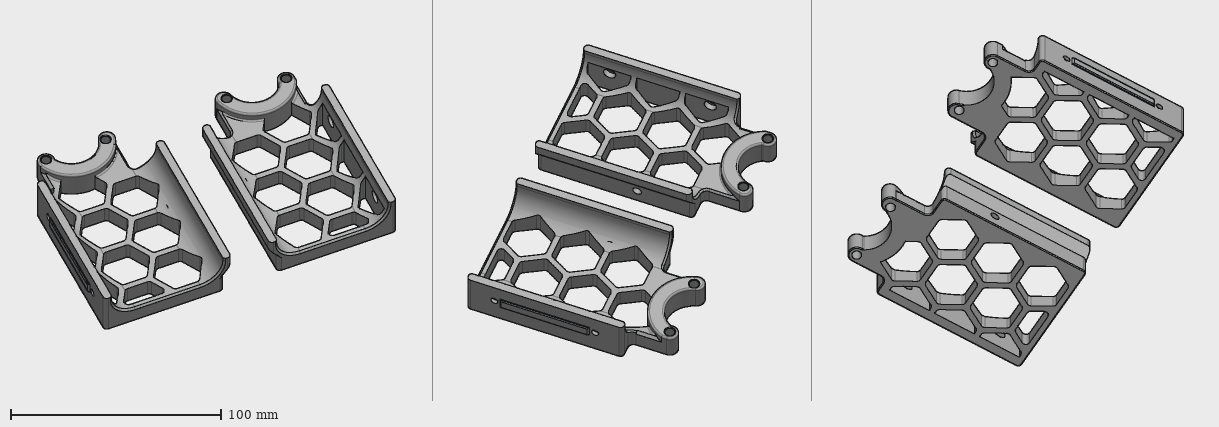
import cadquery as cq
import math


tolerance = 0.001

tray_length = 80.0
tray_height = 23.0
inner_wall_y = 10.0
outer_wall_y = 76.0
inner_step_y = 14.0
lip_bottom_z = 17.5
step_top_z = 12.2
corner_radius = 2.0
base_chamfer = 0.5

lip_width = 4.0
channel_radius = 12.0
floor_z = 9.0
channel_start_y = inner_wall_y + lip_width
channel_end_y = outer_wall_y - lip_width
rim_chamfer = 1.0

hole_x = -18.66
hole_spacing = 31.0
hole_diameter = 4.6
hole_chamfer = 0.4
ring_left_x = -23.66
ring_center_x = -23.8
ring_center_y = 47.0
ring_inner_radius = 13.0
ring_width = 8.2
ring_top_z = 13.4
ring_top_fillet = 1.0
ring_foot_fillet = 0.8
outer_boss_radius = 4.2
boss_blend_radius = 1.0
arm_root_radius = 3.0
arm_bevel_width = 1.5

ring_outer_radius = ring_inner_radius + ring_width
inner_hole_y = ring_center_y - hole_spacing / 2
outer_hole_y = ring_center_y + hole_spacing / 2

tip_radius = ring_width / 2
tip_x = ring_left_x + tip_radius
tip_offset_x = tip_x - ring_center_x
tip_offset_y = math.sqrt((ring_inner_radius + tip_radius) ** 2 - tip_offset_x ** 2)
tip_y = ring_center_y - tip_offset_y

arm_start_y = tip_y - tip_radius
arm_end_y = outer_hole_y + outer_boss_radius

cell_width = 22.0
cell_pitch = 25.0
cell_rounding = 2.0
row_pitch = cell_pitch * math.sqrt(3) / 2
first_cell_x = 15.8
first_row_y = 31.6
cells_per_row = 3
row_count = 3
honeycomb_end_x = first_cell_x + (cells_per_row - 1) * cell_pitch + cell_width / 2
honeycomb_end_y = 71.0

strip_start_x = 17.0
strip_end_x = 63.0
strip_bottom_z = 10.1
strip_top_z = 15.6
strip_thickness = 1.0
strip_edge_chamfer = 0.5
strip_end_chamfer = 0.95
screw_z = 12.8
screw_offset = 25.8
screw_diameter = 3.5
counterbore_diameter = 6.2
counterbore_depth = 3.0

blind_hole_x = 28.8
blind_hole_z = 7.8
blind_hole_diameter = 4.4
blind_hole_depth = 6.5


def vertical_cylinder(x, y, radius, height):
    return cq.Workplane("XY").center(x, y).circle(radius).extrude(height)


def wall_cylinder(x, z, diameter, start_y, length):
    """Cylinder along +Y, starting at start_y."""
    plane = cq.Plane(origin=(x, start_y, z), xDir=(1, 0, 0), normal=(0, 1, 0))
    return cq.Workplane(plane).circle(diameter / 2).extrude(length)


def block(x0, x1, y0, y1, z0, z1):
    return cq.Workplane("XY").box(x1 - x0, y1 - y0, z1 - z0, centered=False).translate((x0, y0, z0))


def rounded_block(start_y):
    """Full-height block from start_y to the outer wall, with rounded upright corners."""
    solid = block(0, tray_length, start_y, outer_wall_y, 0, tray_height)
    return solid.edges("|Z").fillet(corner_radius)


def tray_block():
    """Solid tray whose lip overhangs the inner side on a sloping underside."""
    slope = (lip_bottom_z - step_top_z) / (inner_step_y - inner_wall_y)
    slope_end_y = inner_wall_y + lip_bottom_z / slope
    below_lip = (
        cq.Workplane("YZ")
        .moveTo(inner_wall_y, 0)
        .lineTo(slope_end_y, 0)
        .lineTo(inner_wall_y, lip_bottom_z)
        .close()
        .extrude(tray_length)
    )
    lip = rounded_block(inner_wall_y).cut(below_lip)
    base = rounded_block(inner_step_y).intersect(block(0, tray_length, 0, outer_wall_y, 0, step_top_z))
    return lip.union(base)


def arm_block():
    """Arm that joins the ring to the front of the tray, tall enough for the channel to trim."""
    return block(hole_x, 0, arm_start_y, arm_end_y, 0, lip_bottom_z)


def channel():
    """Flat floor with a quarter round up to each lip, running through the tray and the arm."""
    arc_z = floor_z + channel_radius
    rise = channel_radius * math.sin(math.pi / 4)
    start_y = channel_start_y + channel_radius
    end_y = channel_end_y - channel_radius
    return (
        cq.Workplane("YZ", origin=(2 * hole_x, 0, 0))
        .moveTo(channel_start_y, 2 * tray_height)
        .lineTo(channel_start_y, arc_z)
        .threePointArc((start_y - rise, arc_z - rise), (start_y, floor_z))
        .lineTo(end_y, floor_z)
        .threePointArc((end_y + rise, arc_z - rise), (channel_end_y, arc_z))
        .lineTo(channel_end_y, 2 * tray_height)
        .close()
        .extrude(tray_length - 4 * hole_x)
    )


def is_channel_rim(edge):
    """True for the edges where the channel runs out through the ends and the arm sides."""
    middle = edge.positionAt(0.5)
    marker = cq.Vertex.makeVertex(*middle.toTuple())
    on_channel = channel().val().distance(marker) < tolerance
    full_length = edge.Length() > tray_length - tolerance
    inside_ring = middle.x < hole_x + tolerance
    return on_channel and not full_length and not inside_ring


def tray_with_arm():
    """Tray and arm blended together, chamfered underneath, with the chamfered channel cut in."""
    solid = tray_block().union(arm_block())
    root_zone = cq.selectors.BoxSelector(
        (-tolerance, arm_start_y - tolerance, 0),
        (tolerance, arm_end_y + tolerance, tray_height),
    )
    solid = solid.edges(root_zone).edges("|Z").fillet(arm_root_radius)
    solid = solid.faces("<Z").edges().chamfer(base_chamfer)
    solid = solid.cut(channel())
    return solid.edges().filter(is_channel_rim).chamfer(rim_chamfer)


def half_ring():
    """Half-ring with a rounded inner tip and a round boss at its outer end."""
    far = 2 * ring_outer_radius
    tip_slope = tip_offset_x / tip_offset_y
    tip_to_boss = (
        cq.Workplane("XY")
        .moveTo(ring_center_x, ring_center_y)
        .lineTo(ring_center_x + far * tip_slope, ring_center_y - far)
        .lineTo(ring_center_x + far, ring_center_y - far)
        .lineTo(ring_center_x + far, arm_end_y)
        .lineTo(hole_x, arm_end_y)
        .lineTo(hole_x, ring_center_y)
        .close()
        .extrude(ring_top_z)
    )
    ring = vertical_cylinder(ring_center_x, ring_center_y, ring_outer_radius, ring_top_z)
    ring = ring.cut(ring_bore()).intersect(tip_to_boss)
    ring = ring.union(vertical_cylinder(tip_x, tip_y, tip_radius, ring_top_z))
    ring = ring.union(vertical_cylinder(hole_x, outer_hole_y, outer_boss_radius, ring_top_z))
    boss_corner = cq.selectors.BoxSelector(
        (hole_x, ring_center_y, 0),
        (hole_x + outer_boss_radius, outer_hole_y, ring_top_z),
    )
    ring = ring.clean().edges(boss_corner).edges("|Z").fillet(boss_blend_radius)
    ring = ring.faces(">Z").edges().fillet(ring_top_fillet)
    return ring.faces("<Z").edges().chamfer(base_chamfer)


def ring_bore():
    """Round opening of the half-ring, also cleared from the arm."""
    return vertical_cylinder(ring_center_x, ring_center_y, ring_inner_radius, tray_height)


def frame():
    """Tray, arm and half-ring in one piece, with a fillet at the foot of the ring."""
    solid = tray_with_arm().cut(ring_bore()).union(half_ring())
    solid = solid.edges().filter(is_ring_foot).fillet(ring_foot_fillet)
    return solid.cut(arm_edge_bevel())


def channel_height(y):
    """Height of the channel surface on its outer quarter round."""
    center_y = channel_end_y - channel_radius
    return floor_z + channel_radius - math.sqrt(channel_radius ** 2 - (y - center_y) ** 2)


def arm_edge_bevel():
    """Wedge that widens the chamfer where the rising channel meets the outer side of the arm."""
    bevel_start_y = arm_end_y - arm_bevel_width
    wedge = (
        cq.Workplane("YZ", origin=(hole_x, 0, 0))
        .moveTo(arm_end_y, floor_z)
        .lineTo(bevel_start_y, channel_height(bevel_start_y))
        .lineTo(arm_end_y, tray_height)
        .close()
        .extrude(-arm_root_radius - hole_x)
    )
    return wedge.cut(vertical_cylinder(ring_center_x, ring_center_y, ring_outer_radius, tray_height))


def is_ring_foot(edge):
    """True for the edges where the outside of the ring meets the floor or the outer channel arc."""
    middle = edge.positionAt(0.5)
    distance = math.hypot(middle.x - ring_center_x, middle.y - ring_center_y)
    on_ring = abs(distance - ring_outer_radius) < tolerance
    above_floor = floor_z - tolerance < middle.z < ring_top_z - ring_top_fillet - tolerance
    beside_rim = arm_start_y + rim_chamfer < middle.y < arm_end_y - rim_chamfer
    return on_ring and above_floor and beside_rim and edge.geomType() != "LINE"


def honeycomb_cell(x, y):
    """One hexagonal cell, cut short at the end and side borders of the honeycomb."""
    corner_to_corner = cell_width / math.cos(math.pi / 6)
    cell = (
        cq.Workplane("XY")
        .polygon(6, corner_to_corner)
        .extrude(tray_height)
        .rotate((0, 0, 0), (0, 0, 1), 180 / 6)
        .translate((x, y, 0))
    )
    if x + cell_width / 2 > honeycomb_end_x + tolerance:
        cell = cell.intersect(block(0, honeycomb_end_x, 0, outer_wall_y, 0, tray_height))
    cell = cell.edges("|Z").fillet(cell_rounding)
    return cell.intersect(block(-tray_length, tray_length, 0, honeycomb_end_y, 0, tray_height))


def honeycomb():
    """Three staggered rows of cells; the middle row has a partial cell at each end."""
    keep_ring = vertical_cylinder(ring_center_x, ring_center_y, ring_outer_radius, tray_height)
    cells = []
    for row in range(row_count):
        y = first_row_y + row * row_pitch
        staggered = row % 2 == 1
        first_x = first_cell_x - cell_pitch / 2 if staggered else first_cell_x
        count = cells_per_row + 1 if staggered else cells_per_row
        for column in range(count):
            cell = honeycomb_cell(first_x + column * cell_pitch, y)
            cells.append(cell.cut(keep_ring))
    return cells


def raised_strip():
    """Thin bar on the outer wall with chamfered outer edges."""
    bar = block(
        strip_start_x,
        strip_end_x,
        outer_wall_y,
        outer_wall_y + strip_thickness,
        strip_bottom_z,
        strip_top_z,
    )
    bar = bar.faces(">Y").edges("|Z").chamfer(strip_end_chamfer)
    return bar.faces(">Y").edges("|X").chamfer(strip_edge_chamfer)


def screw_holes():
    """Two holes through the outer wall, counterbored on the honeycomb side."""
    middle_x = (strip_start_x + strip_end_x) / 2
    wall = outer_wall_y - honeycomb_end_y
    tools = []
    for x in (middle_x - screw_offset, middle_x + screw_offset):
        hole = wall_cylinder(x, screw_z, screw_diameter, honeycomb_end_y, wall)
        counterbore = wall_cylinder(x, screw_z, counterbore_diameter, honeycomb_end_y, counterbore_depth)
        tools.append(hole.union(counterbore))
    return tools


def ring_hole(y):
    """Upright screw hole through the ring, chamfered at its mouth."""
    hole = vertical_cylinder(hole_x, y, hole_diameter / 2, ring_top_z)
    mouth = cq.Solid.makeCone(
        hole_diameter / 2,
        hole_diameter / 2 + hole_chamfer,
        hole_chamfer,
        pnt=cq.Vector(hole_x, y, ring_top_z - hole_chamfer),
    )
    return hole.union(cq.Workplane(mouth))


def tray():
    """Complete +Y tray."""
    solid = frame()
    for cell in honeycomb():
        solid = solid.cut(cell)
    solid = solid.union(raised_strip())
    for hole in screw_holes():
        solid = solid.cut(hole)
    for y in (inner_hole_y, outer_hole_y):
        solid = solid.cut(ring_hole(y))
    return solid.cut(
        wall_cylinder(blind_hole_x, blind_hole_z, blind_hole_diameter, inner_step_y, blind_hole_depth)
    )


left_tray = tray()
right_tray = left_tray.mirror("XZ")
result = cq.Compound.makeCompound([left_tray.val(), right_tray.val()])